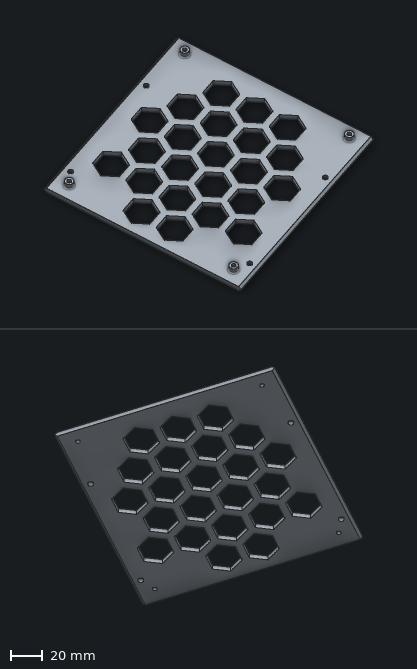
import cadquery as cq
import math

width = 148.5
length = 148.8
plate_thickness = 4.0
edge_bevel = 1.8
edge_flat = 0.5

hex_pitch = 25.0
hex_across_flats = 20.0
hex_row_pitch = hex_pitch * math.sqrt(3) / 2
hex_row_counts = [3, 4, 5, 4, 5, 2]
top_row_y = 51.4

post_height = 4.0
post_diameter = 6.0
post_bore = 2.8
post_x = 62.0
post_back_y = 65.5
post_front_y = -64.5
post_root_fillet = 1.0

side_hole_diameter = 3.5
side_hole_x = 67.6
side_hole_back_y = 30.4
side_hole_front_y = -54.6

post_top = plate_thickness + post_height
post_points = [(x, y) for x in (-post_x, post_x) for y in (post_front_y, post_back_y)]
side_hole_points = [
    (x, y) for x in (-side_hole_x, side_hole_x) for y in (side_hole_front_y, side_hole_back_y)
]


def make_plate():
    """Plate with its underside at Z = 0 and bevels meeting a narrow flat along both X sides."""
    tip_x = width / 2
    face_x = tip_x - edge_bevel
    flat_bottom = (plate_thickness - edge_flat) / 2
    flat_top = flat_bottom + edge_flat
    outline = [
        (-face_x, 0),
        (face_x, 0),
        (tip_x, flat_bottom),
        (tip_x, flat_top),
        (face_x, plate_thickness),
        (-face_x, plate_thickness),
        (-tip_x, flat_top),
        (-tip_x, flat_bottom),
    ]
    return cq.Workplane("XZ").polyline(outline).close().extrude(length / 2, both=True)


def hex_centres():
    """Centres of the staggered rows, each row centred on X = 0, from back to front."""
    centres = []
    for row, count in enumerate(hex_row_counts):
        y = top_row_y - row * hex_row_pitch
        for column in range(count):
            x = (column - (count - 1) / 2) * hex_pitch
            centres.append((x, y))
    return centres


def make_hex_openings():
    """Through cutters with two flat sides parallel to Y."""
    corner_radius = hex_across_flats / math.sqrt(3)
    corners = []
    for corner in range(6):
        angle = math.radians(30 + 60 * corner)
        corners.append((corner_radius * math.cos(angle), corner_radius * math.sin(angle)))
    cutter = cq.Workplane("XY").polyline(corners).close().extrude(plate_thickness).val()
    return cq.Workplane("XY").pushPoints(hex_centres()).eachpoint(lambda spot: cutter.moved(spot))


def make_hole_cutters(points, diameter, depth):
    """Vertical cylinders rising from the underside of the plate."""
    return cq.Workplane("XY").pushPoints(points).circle(diameter / 2).extrude(depth)


def make_posts():
    """Solid posts on the top face, flared at the root by a concave fillet."""
    radius = post_diameter / 2
    root_radius = radius + post_root_fillet
    fillet_top = plate_thickness + post_root_fillet
    fillet_middle = (
        root_radius - post_root_fillet * math.sin(math.pi / 4),
        fillet_top - post_root_fillet * math.cos(math.pi / 4),
    )
    post = (
        cq.Workplane("XZ")
        .moveTo(0, 0)
        .lineTo(root_radius, 0)
        .lineTo(root_radius, plate_thickness)
        .threePointArc(fillet_middle, (radius, fillet_top))
        .lineTo(radius, post_top)
        .lineTo(0, post_top)
        .close()
        .revolve(360, (0, 0), (0, 1))
        .val()
    )
    return cq.Workplane("XY").pushPoints(post_points).eachpoint(lambda spot: post.moved(spot))


result = make_plate().cut(make_hex_openings())
result = result.union(make_posts())
result = result.cut(make_hole_cutters(side_hole_points, side_hole_diameter, plate_thickness))
result = result.cut(make_hole_cutters(post_points, post_bore, post_top))